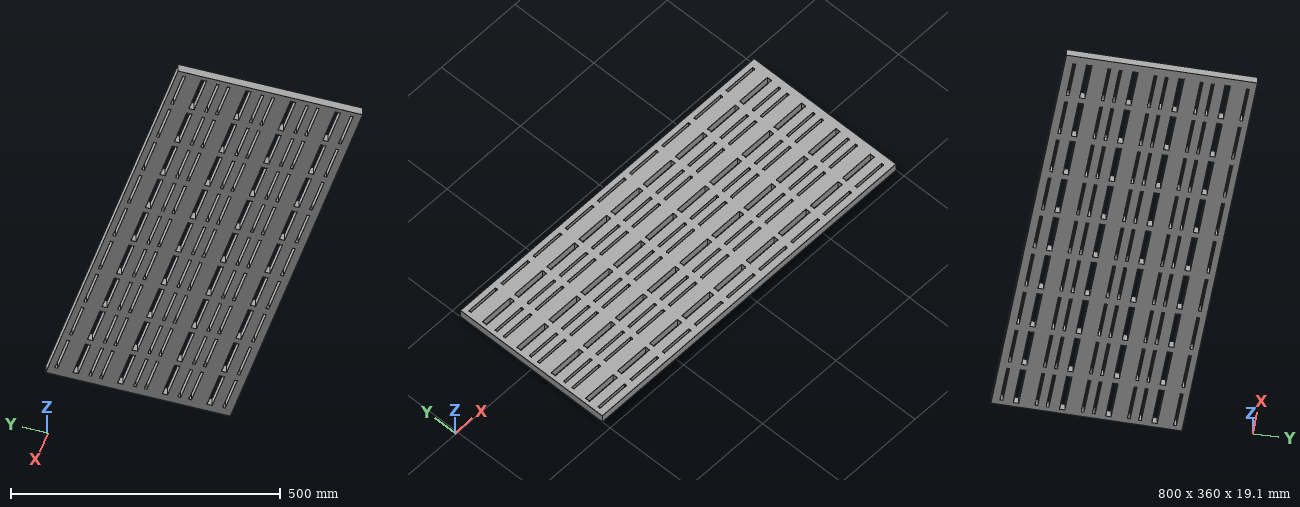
import cadquery as cq

plate_length = 800.0
plate_width = 360.0
plate_thickness = 19.05

column_pitch = 87.5
row_pitch = 87.0
columns = 9
rows = 4
grid_center_x = -3.5
grid_center_y = 1.5

wide_slot_length = 75.0
wide_slot_width = 10.0
narrow_slot_length = 72.0
narrow_slot_width = 5.0

narrow_slot_spacing = 66.0
wide_slot_offset = -5.25


def make_plate():
    return cq.Workplane("XY").box(
        plate_length, plate_width, plate_thickness, centered=(True, True, False)
    )


def slot_grid(length, width, offset_y):
    """Through-cutters for one slot of every group, offset_y from the group centre."""
    return (
        cq.Workplane("XY")
        .center(grid_center_x, grid_center_y + offset_y)
        .rarray(column_pitch, row_pitch, columns, rows)
        .rect(length, width)
        .extrude(plate_thickness)
    )


result = make_plate()
result = result.cut(slot_grid(wide_slot_length, wide_slot_width, wide_slot_offset))
for side in (-1, 1):
    narrow_slot_offset = side * narrow_slot_spacing / 2
    result = result.cut(slot_grid(narrow_slot_length, narrow_slot_width, narrow_slot_offset))